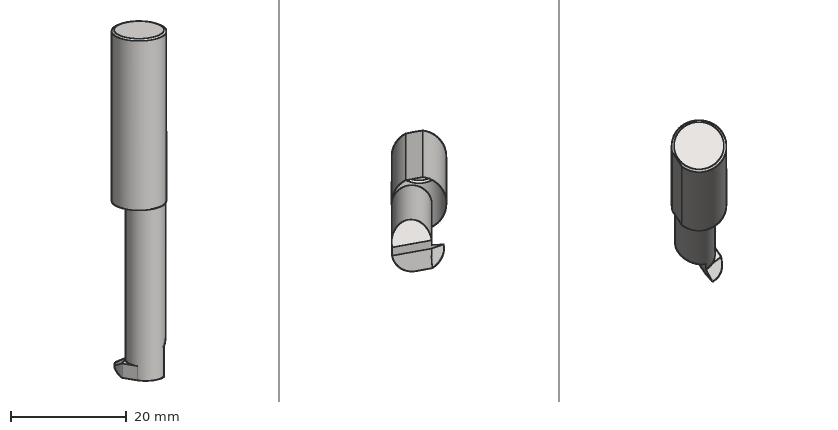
import cadquery as cq
import math

total_length = 63.5
shank_length = 31.6
shank_radius = 4.75
shank_flat_y = 4.5
chamfer_width = 0.45
chamfer_height = 0.25

neck_radius = 3.5
neck_center_x = shank_radius - neck_radius
neck_length = total_length - shank_length

relief_end_z = 5.6
relief_ramp_height = 3.3

tip_x = -4.4
head_height = 2.65
tip_z = head_height / 2
heel_x = -1.6
flank_mid = (-3.5, -2.35)
side_clearance = 0.4
tip_half_angle = math.radians(30)


def make_shank():
    """Round bar with a narrow flat on +Y and a shallow chamfer at the top."""
    edge_z = total_length - chamfer_height
    profile = (
        cq.Workplane("XZ")
        .moveTo(0, neck_length)
        .lineTo(shank_radius, neck_length)
        .lineTo(shank_radius, edge_z)
        .lineTo(shank_radius - chamfer_width, total_length)
        .lineTo(0, total_length)
        .close()
    )
    bar = profile.revolve(360, (0, 0, 0), (0, 1, 0))
    flat_cutter = cq.Workplane("XY").box(
        2 * shank_radius, shank_radius, total_length, centered=(True, False, False)
    )
    return bar.cut(flat_cutter.translate((0, shank_flat_y, 0)))


def make_neck():
    """Slim cylinder cut to a half round at its end."""
    neck = cq.Workplane("XY").center(neck_center_x, 0).circle(neck_radius).extrude(neck_length)
    relief = (
        cq.Workplane("YZ")
        .polyline([
            (0, 0),
            (0, relief_end_z),
            (neck_radius, relief_end_z + relief_ramp_height),
            (neck_radius, 0),
        ])
        .close()
        .extrude(2 * shank_radius, both=True)
    )
    return neck.cut(relief)


def point_outline(apex_x, full_height_x):
    """X-Z outline of the tooth: a symmetric point running into a straight bar."""
    return [
        (apex_x, tip_z),
        (full_height_x, 0),
        (neck_center_x, 0),
        (neck_center_x, head_height),
        (full_height_x, head_height),
    ]


def make_head():
    """Pointed cutting tooth with a curved flank below its flat rake face."""
    plan = (
        cq.Workplane("XY")
        .moveTo(tip_x, 0)
        .threePointArc(flank_mid, (heel_x, -neck_radius))
        .lineTo(neck_center_x, -neck_radius)
        .lineTo(neck_center_x, 0)
        .close()
        .extrude(head_height)
    )
    full_height_x = tip_x + tip_z / math.tan(tip_half_angle)
    rake_outline = point_outline(tip_x, full_height_x)
    heel_outline = point_outline(tip_x + side_clearance, full_height_x + side_clearance)
    point = (
        cq.Workplane("XZ")
        .polyline(rake_outline)
        .close()
        .workplane(offset=neck_radius)
        .polyline(heel_outline)
        .close()
        .loft(ruled=True)
    )
    return plan.intersect(point)


result = make_shank().union(make_neck()).union(make_head())